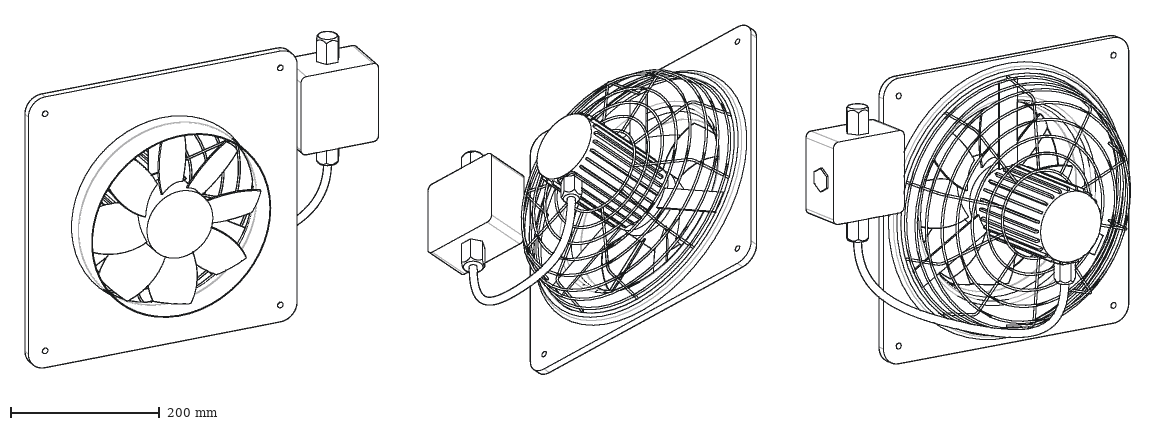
import cadquery as cq
import math

AXIS_START = (0, 0, 0)
AXIS_END = (1, 0, 0)

plate_side = 400
plate_thickness = 11
plate_corner_radius = 25
screw_hole_diameter = 8
screw_hole_spacing = 350
plate_front_x = -plate_thickness

duct_inner_radius = 132
duct_wall = 1.25
duct_length = 58
flare_start_x = 16
flare_radius = 52
flare_end_x = -10
inlet_lip_radius = 145.7

bead_inner_radius = 178.5
bead_crest_width = 6
bead_shoulder_radius = 187.5
bead_outer_radius = 192
bead_height = 12
bead_shoulder_height = 5
raised_face_height = 2.5
raised_face_x = plate_front_x - raised_face_height

arm_width = 29
arm_thickness = 3
arm_outer_radius = 170
arm_angles = (90, 210, 330)

motor_length = 154
motor_radius = 49.3
motor_rear_x = plate_front_x
motor_front_x = plate_front_x - motor_length
fin_count = 24
fin_width = 3
fin_outer_radius = 53.8
fin_front_gap = 5.5
fin_rear_gap = 15
fin_nose_radius = 3
fin_root_depth = 2
cable_pad_width = 26
cable_pad_z = -51.5
cable_pad_front_gap = 1

motor_gland_flats = 25
motor_gland_x = motor_front_x + motor_gland_flats / math.sqrt(3)
motor_gland_end_z = -81
motor_gland_chamfer = (3.5, 6)
box_gland_flats = 28.8
box_gland_length = 35.5
box_gland_chamfer = (3.5, 5)
box_plug_length = 3

box_side = 115.5
box_depth = 65.5
box_corner_radius = 8
box_plug_reach = 129.41
box_center_y = plate_side / 2 + box_plug_reach - box_plug_length - box_side / 2
box_center_z = 91.5
box_rear_x = plate_front_x
box_gland_x = -49.5
cable_diameter = 11
cable_leaving_motor = (0, -203.5)
cable_sag = [(106, -137.8), (162.3, -117.1)]
cable_below_box_z = -117.8

wire_diameter = 3
spoke_count = 10
spoke_inner = (-88.5, 60)
spoke_bend = (-76.7, 159.5)
spoke_outer_radius = 174.7
spoke_bend_setback = 6
front_ring_count = 5
front_ring_first_radius = 61
front_ring_pitch = 22.75
side_ring_x = (-62.7, -44.6, -26)
ring_offset = 0.9 * wire_diameter

blade_count = 8
blade_angle = 33
blade_thickness = 2
blade_root_width = 44
blade_middle_width = 57.6
blade_tip_width = 42
blade_tip_radius = 127
blade_middle_radius = 87
blade_center_x = 29
blade_root_depth = 5
hub_radius = 49
hub_front_x = 5
hub_rear_x = 54


def revolve_about_fan_axis(profile):
    return profile.close().revolve(360, AXIS_START, AXIS_END)


def turned(shape, angle):
    return shape.rotate(AXIS_START, AXIS_END, angle)


def flare_rise(x):
    """Radial growth of the inlet flare at a place along the axis."""
    return flare_radius - math.sqrt(flare_radius**2 - (flare_start_x - x) ** 2)


def flare_arc(outline, inner_radius, end_x):
    """Continue an outline from the straight duct along the flare to end_x."""
    middle_x = (flare_start_x + end_x) / 2
    return outline.threePointArc(
        (middle_x, inner_radius + flare_rise(middle_x)),
        (end_x, inner_radius + flare_rise(end_x)),
    )


def make_plate():
    plate = (
        cq.Workplane("YZ")
        .rect(plate_side, plate_side)
        .extrude(-plate_thickness)
        .edges("|X")
        .fillet(plate_corner_radius)
    )
    holes = (
        cq.Workplane("YZ")
        .rect(screw_hole_spacing, screw_hole_spacing, forConstruction=True)
        .vertices()
        .circle(screw_hole_diameter / 2)
        .extrude(-plate_thickness)
    )
    return plate.cut(holes)


def make_duct():
    outer_radius = duct_inner_radius + duct_wall
    outline = cq.Workplane("XY").moveTo(duct_length, 0).lineTo(duct_length, outer_radius)
    outline = outline.lineTo(flare_start_x, outer_radius)
    outline = flare_arc(outline, outer_radius, flare_end_x).lineTo(flare_end_x, 0)
    return revolve_about_fan_axis(outline)


def make_air_passage():
    outline = cq.Workplane("XY").moveTo(duct_length, 0).lineTo(duct_length, duct_inner_radius)
    outline = outline.lineTo(flare_start_x, duct_inner_radius)
    outline = flare_arc(outline, duct_inner_radius, flare_end_x)
    outline = outline.tangentArcPoint((raised_face_x, inlet_lip_radius), relative=False)
    return revolve_about_fan_axis(outline.lineTo(raised_face_x, 0))


def make_raised_face():
    face = cq.Workplane("YZ", origin=(plate_front_x, 0, 0)).circle(bead_inner_radius)
    return face.extrude(-raised_face_height)


def make_bead():
    crest_radius = bead_inner_radius + bead_crest_width / 2
    crest_x = plate_front_x - bead_height
    round_start_x = crest_x + bead_crest_width / 2
    outline = (
        cq.Workplane("XY")
        .moveTo(plate_front_x, bead_inner_radius)
        .lineTo(round_start_x, bead_inner_radius)
        .threePointArc((crest_x, crest_radius), (round_start_x, bead_inner_radius + bead_crest_width))
        .lineTo(plate_front_x - bead_shoulder_height, bead_shoulder_radius)
        .lineTo(plate_front_x, bead_outer_radius)
    )
    return revolve_about_fan_axis(outline)


def make_arm(angle):
    inner_radius = motor_radius / 2
    arm_length = arm_outer_radius - inner_radius
    arm = cq.Workplane("XY").box(arm_thickness, arm_length, arm_width)
    arm = arm.translate((raised_face_x - arm_thickness / 2, inner_radius + arm_length / 2, 0))
    motor_seat = cq.Workplane("YZ", origin=(plate_front_x, 0, 0)).circle(motor_radius)
    return turned(arm.cut(motor_seat.extrude(-motor_length)), angle)


housing = make_plate().union(make_duct()).union(make_raised_face()).union(make_bead())
housing = housing.cut(make_air_passage())
for arm_angle in arm_angles:
    housing = housing.union(make_arm(arm_angle))


def corner_size(flats):
    """Width of a hexagon across its corners."""
    return 2 * flats / math.sqrt(3)


def make_gland(flats, length, chamfer):
    """Hexagon along +Z from the origin, corners on X, its far end turned to a cone.

    The chamfer is (radial size, axial size).
    """
    hexagon = cq.Workplane("XY").polygon(6, corner_size(flats)).extrude(length)
    turned_end = cq.Workplane("XY").circle(corner_size(flats) / 2).extrude(length)
    turned_end = turned_end.faces(">Z").edges().chamfer(chamfer[1], chamfer[0])
    return hexagon.intersect(turned_end)


def make_fin(angle):
    front_x = motor_front_x + fin_front_gap
    rear_x = plate_front_x - fin_rear_gap
    root_radius = motor_radius - fin_root_depth
    fin = (
        cq.Workplane("XY")
        .box(rear_x - front_x, fin_outer_radius - root_radius, fin_width)
        .edges("<X and >Y")
        .fillet(fin_nose_radius)
        .translate(((front_x + rear_x) / 2, (fin_outer_radius + root_radius) / 2, 0))
    )
    return turned(fin, angle)


def make_motor_case():
    case = cq.Workplane("YZ", origin=(motor_front_x, 0, 0)).circle(motor_radius)
    case = case.extrude(motor_rear_x - motor_front_x)
    for index in range(fin_count):
        case = case.union(make_fin(index * 360 / fin_count))
    pad_front_x = motor_front_x + cable_pad_front_gap
    pad_length = plate_front_x - fin_rear_gap - pad_front_x
    pad = cq.Workplane("XY").box(
        pad_length, cable_pad_width, -cable_pad_z, centered=(False, True, False)
    )
    return case.union(pad.translate((pad_front_x, 0, cable_pad_z)))


def make_junction_box():
    box = (
        cq.Workplane("XY")
        .box(box_depth, box_side, box_side)
        .edges("|X")
        .fillet(box_corner_radius)
        .translate((box_rear_x - box_depth / 2, box_center_y, box_center_z))
    )
    gland = make_gland(box_gland_flats, box_side / 2 + box_gland_length, box_gland_chamfer)
    gland = gland.rotate((0, 0, 0), (0, 0, 1), 30)
    for flip in (0, 180):
        placed = gland.rotate((0, 0, 0), (0, 1, 0), flip)
        box = box.union(placed.translate((box_gland_x, box_center_y, box_center_z)))
    plug = cq.Workplane("XY").polygon(6, corner_size(box_gland_flats))
    plug = plug.extrude(box_side / 2 + box_plug_length)
    plug = plug.rotate((0, 0, 0), (0, 0, 1), 30).rotate((0, 0, 0), (1, 0, 0), -90)
    return box.union(plug.translate((box_gland_x, box_center_y, box_center_z)))


def make_motor_gland():
    length = cable_pad_z - motor_gland_end_z
    gland = make_gland(motor_gland_flats, length, motor_gland_chamfer)
    gland = gland.rotate((0, 0, 0), (1, 0, 0), 180)
    return gland.translate((motor_gland_x, 0, cable_pad_z))


def make_cable():
    """Cable that hangs in the upright plane through the motor gland and the box gland.

    It follows a Bezier curve that leaves both glands straight down.
    """
    box_end_z = box_center_z - box_side / 2 - box_gland_length
    slope = (box_gland_x - motor_gland_x) / box_center_y
    places = [(0, motor_gland_end_z), cable_leaving_motor, *cable_sag]
    places += [(box_center_y, cable_below_box_z), (box_center_y, box_end_z)]
    points = [(motor_gland_x + slope * y, y, z) for y, z in places]
    path = cq.Workplane("XY").bezier(points)
    start = cq.Workplane("XY", origin=points[0])
    return start.circle(cable_diameter / 2).sweep(path, isFrenet=True)


motor = make_motor_case().union(make_motor_gland()).union(make_cable()).union(make_junction_box())


def point_toward(start, end, distance):
    """Point at a distance from start on the line toward end."""
    share = distance / math.dist(start, end)
    return tuple(a + share * (b - a) for a, b in zip(start, end))


def make_spoke():
    """One bent wire in the X-Y plane, running out to the raised face."""
    outer_end = (raised_face_x, spoke_outer_radius)
    path = (
        cq.Workplane("XY")
        .moveTo(*spoke_inner)
        .lineTo(*point_toward(spoke_bend, spoke_inner, spoke_bend_setback))
        .tangentArcPoint(point_toward(spoke_bend, outer_end, spoke_bend_setback), relative=False)
        .lineTo(*outer_end)
    )
    direction = (spoke_bend[0] - spoke_inner[0], spoke_bend[1] - spoke_inner[1], 0)
    section = cq.Plane(origin=(*spoke_inner, 0), xDir=(0, 0, 1), normal=direction)
    spoke = cq.Workplane(section).circle(wire_diameter / 2).sweep(path)
    beyond = cq.Workplane("YZ", origin=(raised_face_x, 0, 0)).rect(plate_side, plate_side)
    return spoke.cut(beyond.extrude(plate_thickness))


def make_ring(x, radius):
    """Ring around the fan axis, its seam turned away from the spokes."""
    section = cq.Workplane("XY").center(x, radius).circle(wire_diameter / 2)
    ring = section.revolve(360, (-x, -radius, 0), (1 - x, -radius, 0))
    return turned(ring, 90 / spoke_count)


def front_ring_x(radius):
    """Rings on the front lie against the outside of the spokes."""
    share = (radius - spoke_inner[1]) / (spoke_bend[1] - spoke_inner[1])
    return spoke_inner[0] + share * (spoke_bend[0] - spoke_inner[0]) - ring_offset


def side_ring_radius(x):
    """Rings on the side lie around the outside of the spokes."""
    share = (x - spoke_bend[0]) / (raised_face_x - spoke_bend[0])
    return spoke_bend[1] + share * (spoke_outer_radius - spoke_bend[1]) + ring_offset


spoke = make_spoke()
spokes = [turned(spoke, 90 + index * 360 / spoke_count).val() for index in range(spoke_count)]
front_radii = [front_ring_first_radius + index * front_ring_pitch for index in range(front_ring_count)]
rings = [make_ring(front_ring_x(radius), radius).val() for radius in front_radii]
rings += [make_ring(x, side_ring_radius(x)).val() for x in side_ring_x]
guard = cq.Workplane(spokes[0].fuse(*spokes[1:], *rings))


def make_blade(angle):
    """Flat blade with bowed sides, tilted about its own length and trimmed to the tip circle."""
    widening = 1 / math.cos(math.radians(blade_angle))
    root = blade_root_width / 2 * widening
    middle = blade_middle_width / 2 * widening
    tip = blade_tip_width / 2 * widening
    root_radius = hub_radius - blade_root_depth
    blade = (
        cq.Workplane("YZ")
        .moveTo(root_radius, -root)
        .threePointArc((blade_middle_radius, -middle), (blade_tip_radius, -tip))
        .lineTo(blade_tip_radius, tip)
        .threePointArc((blade_middle_radius, middle), (root_radius, root))
        .close()
        .extrude(blade_thickness / 2, both=True)
        .rotate((0, 0, 0), (0, 1, 0), blade_angle)
        .translate((blade_center_x, 0, 0))
    )
    tip_cylinder = cq.Workplane("YZ").circle(blade_tip_radius).extrude(2 * blade_center_x)
    return turned(blade.intersect(tip_cylinder), angle)


hub_length = hub_rear_x - hub_front_x
impeller = cq.Workplane("YZ", origin=(hub_front_x, 0, 0)).circle(hub_radius).extrude(hub_length)
for blade_index in range(blade_count):
    impeller = impeller.union(make_blade(blade_index * 360 / blade_count))

result = cq.Compound.makeCompound([housing.val(), motor.val(), guard.val(), impeller.val()])